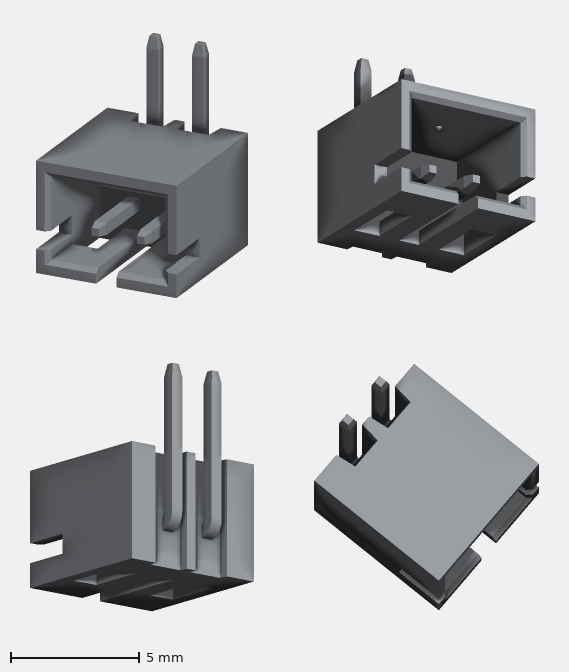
import cadquery as cq

width, depth, height = 6.1, 6.3, 4.7
overall_height = 8.1

cavity_half_width = 2.49
cavity_floor = 0.6
cavity_ceiling = 4.09
lead_in = 0.19
lower_wall_y = 4.455
wall_slope_bottom = 2.18
wall_slope = 0.53
upper_wall_y = lower_wall_y + wall_slope

side_slot_depth = 2.01
side_slot_bottom, side_slot_top = 1.0, 1.8
floor_slot_width = 0.88
floor_window_inner_x = 1.36

pocket_offset = 0.09
pocket_pitch = 2.0
pocket_open_width = 1.58
pocket_inner_width = 1.37
pocket_depth_top = 0.875
pocket_depth_bottom = 0.365

pin_pitch = 1.98
pin_size = 0.5
pin_tip_size = 0.315
pin_taper = 0.5
pin_axis_z = 1.7
pin_front_y = 1.03
pin_back_y = depth + pin_size / 2
bend_outer_radius = 0.745
bend_inner_radius = bend_outer_radius - pin_size

peg_radius = 0.12
peg_straight = 0.065
peg_point = 0.1
peg_y = lower_wall_y / 2


def block(x_range, y_range, z_range):
    """Axis-aligned box given by its lower and upper limits."""
    (x0, x1), (y0, y1), (z0, z1) = x_range, y_range, z_range
    return cq.Workplane("XY").box(x1 - x0, y1 - y0, z1 - z0, centered=False).translate((x0, y0, z0))


def make_cavity():
    """Stepped cavity with a bevelled mouth."""
    slope_top = wall_slope_bottom + wall_slope
    profile = [
        (0, cavity_floor),
        (lower_wall_y, cavity_floor),
        (lower_wall_y, wall_slope_bottom),
        (upper_wall_y, slope_top),
        (upper_wall_y, cavity_ceiling),
        (0, cavity_ceiling),
    ]
    cavity = cq.Workplane("YZ").polyline(profile).close().extrude(cavity_half_width, both=True)

    inner_width = 2 * cavity_half_width
    inner_height = cavity_ceiling - cavity_floor
    mid_z = (cavity_ceiling + cavity_floor) / 2
    mouth = (
        cq.Workplane("XZ", origin=(0, 0, mid_z))
        .rect(inner_width + 2 * lead_in, inner_height + 2 * lead_in)
        .workplane(offset=-lead_in)
        .rect(inner_width, inner_height)
        .loft(ruled=True)
    )
    return cavity.union(mouth)


def make_rear_pocket(center_x):
    """Pocket narrowing inwards in X, its front wall leaning out down to the pin."""
    half_open = pocket_open_width / 2
    half_inner = pocket_inner_width / 2
    inner_y = depth - pocket_depth_top
    shelf_y = depth - pocket_depth_bottom
    plan = [
        (center_x - half_open, depth),
        (center_x - half_inner, inner_y),
        (center_x + half_inner, inner_y),
        (center_x + half_open, depth),
    ]
    section = [
        (depth, 0),
        (shelf_y, 0),
        (shelf_y, wall_slope_bottom),
        (inner_y, height),
        (depth, height),
    ]
    prism = cq.Workplane("XY").polyline(plan).close().extrude(height)
    keep = cq.Workplane("YZ").polyline(section).close().extrude(width, both=True)
    return prism.intersect(keep)


def make_pin(center_x):
    """Square right-angle pin with a tapered point at each end."""
    bottom = pin_axis_z - pin_size / 2
    top = pin_axis_z + pin_size / 2
    shank_front = pin_front_y + pin_taper
    shank_top = overall_height - pin_taper
    bend_y = pin_back_y - bend_outer_radius
    bend_z = bottom + bend_outer_radius
    diagonal = 0.5 ** 0.5

    def on_bend(radius):
        return bend_y + radius * diagonal, bend_z - radius * diagonal

    shank = (
        cq.Workplane("YZ", origin=(center_x, 0, 0))
        .moveTo(shank_front, bottom)
        .lineTo(bend_y, bottom)
        .threePointArc(on_bend(bend_outer_radius), (pin_back_y, bend_z))
        .lineTo(pin_back_y, shank_top)
        .lineTo(pin_back_y - pin_size, shank_top)
        .lineTo(pin_back_y - pin_size, bend_z)
        .threePointArc(on_bend(bend_inner_radius), (bend_y, top))
        .lineTo(shank_front, top)
        .close()
        .extrude(pin_size / 2, both=True)
    )

    def point(plane, origin):
        return (
            cq.Workplane(plane, origin=origin)
            .rect(pin_size, pin_size)
            .workplane(offset=pin_taper)
            .rect(pin_tip_size, pin_tip_size)
            .loft(ruled=True)
        )

    front_point = point("XZ", (center_x, shank_front, pin_axis_z))
    top_point = point("XY", (center_x, pin_back_y - pin_size / 2, shank_top))
    return shank.union(front_point).union(top_point)


def make_peg():
    """Peg with a conical point, hanging from the cavity ceiling."""
    shoulder_z = cavity_ceiling - peg_straight
    root_z = (cavity_ceiling + height) / 2
    profile = [(0, root_z), (peg_radius, root_z), (peg_radius, shoulder_z), (0, shoulder_z - peg_point)]
    peg = cq.Workplane("XZ").polyline(profile).close().revolve(360, (0, 0), (0, 1))
    return peg.translate((0, peg_y, 0))


housing = block((-width / 2, width / 2), (0, depth), (0, height)).cut(make_cavity())

housing = housing.cut(
    block((-width / 2, width / 2), (0, side_slot_depth), (side_slot_bottom, side_slot_top))
)
housing = housing.cut(
    block((-floor_slot_width / 2, floor_slot_width / 2), (0, lower_wall_y), (0, cavity_floor + lead_in))
)

for x_range in (
    (-cavity_half_width, -floor_window_inner_x),
    (floor_window_inner_x, cavity_half_width),
):
    housing = housing.cut(block(x_range, (side_slot_depth, lower_wall_y), (0, cavity_floor)))

for side in (-1, 1):
    housing = housing.cut(make_rear_pocket(pocket_offset + side * pocket_pitch / 2))

result = housing.union(make_peg())
for side in (-1, 1):
    result = result.union(make_pin(side * pin_pitch / 2))